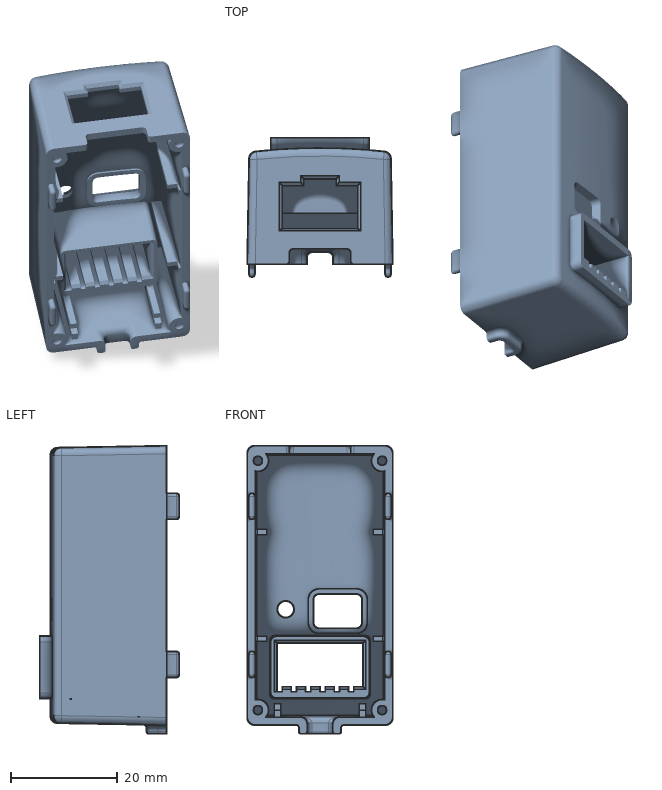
import math

import cadquery as cq

BODY_WIDTH = 27.5
BODY_HEIGHT = 52.7
BODY_DEPTH = 21.93
WALL = 1.5
DRAFT = math.tan(math.radians(1.0))
CROWN_RADIUS = 116.0
EDGE_RADIUS = 1.5
SIDE = BODY_WIDTH / 2
END = BODY_HEIGHT / 2

BOSS_X = 11.7
BOSS_Z = 23.5
BOSS_RADIUS = 2.0
SCREW_HOLE_DIAMETER = 1.7
SCREW_HOLE_DEPTH = 10.0

TONGUE_Z = 14.9
TONGUE_LENGTH = 4.95
TONGUE_THICKNESS = 1.15
TONGUE_HEIGHT = 2.4

RIB_Z = 10.05
RIB_THICKNESS = 1.0
RIB_TIP_X = 10.0
RAIL_X = 8.0
RAIL_THICKNESS = 1.2
RAIL_TOP_Z = -22.35
RIB_FRONT_Y = 1.1
RAIL_FRONT_Y = 1.35
BOARD_BACK_Y = 2.9
BOARD_WIDTH = 23.7
BOARD_HEIGHT = 2 * BOSS_Z

TUBE_Z = -15.42
TUBE_WIDTH = 19.0
TUBE_HEIGHT = 12.0
TUBE_CORNER_RADIUS = 1.0
COLLAR_WIDTH = 18.65
COLLAR_HEIGHT = 11.85
COLLAR_CORNER_RADIUS = 1.15
TUBE_FRONT_Y = 9.6
TUBE_BACK_Y = 23.9
SOCKET_WIDTH = 16.2
SOCKET_TOP_Z = -10.86
SOCKET_BOTTOM_Z = -19.06
SOCKET_LEAD_IN = 0.55
GROOVE_FLOOR_Z = -20.03
GROOVE_WIDTH = 0.95
GROOVE_PITCH = 2.7
GROOVE_COUNT = 6

LAMP_X = -6.47
LAMP_Z = -4.5
LAMP_DIAMETER = 3.1
LAMP_RIM_DIAMETER = 4.4
WINDOW_X = 3.35
WINDOW_Z = -4.85
WINDOW_WIDTH = 9.1
WINDOW_HEIGHT = 6.4
WINDOW_CORNER_RADIUS = 1.0
WINDOW_FRAME_MARGIN = 1.0
WINDOW_FRAME_HEIGHT = 0.4

JACK_WIDTH = 14.2
JACK_FRONT_Y = 6.75
JACK_BACK_Y = 14.85
LATCH_WIDTH = 6.1
LATCH_BACK_Y = 16.1
JACK_CHAMFER = 0.58
JACK_FRONT_CHAMFER = 0.42

RIM_NOTCH_WIDTH = 11.6
RIM_NOTCH_DEPTH = 2.9
RIM_NOTCH_ROUNDING = 0.75
RIM_NOTCH_FLARE = 0.55

SLOT_WIDTH = 4.9
SLOT_DEPTH = 2.25
SLOT_CORNER_RADIUS = 0.9
SLOT_INNER_ROUNDING = 1.1
SLOT_OUTER_ROUNDING = 0.4
LIP_WIDTH = 8.0
LIP_DEPTH = 3.8
LIP_DROP = 1.65
LIP_BOTTOM_Z = -END - LIP_DROP
LIP_CORNER_RADIUS = 2.1
LIP_ROOT_RADIUS = 0.5
LIP_EDGE_ROUNDING = 0.5

WALL_CUT = 2 * WALL
BACK_CUT = 3 * WALL
MARGIN = 1.0
EDGE_REACH = 0.1
ARC_MIDDLE = 1 - math.sqrt(0.5)


def block(x_range, y_range, z_range):
    """Box between two limits on each axis."""
    spans = (x_range, y_range, z_range)
    sizes = [upper - lower for lower, upper in spans]
    corner = tuple(lower for lower, upper in spans)
    return cq.Workplane("XY").box(*sizes, centered=False).translate(corner)


def drafted_block(inset):
    """Crowned block lying inset from the outer faces, its sides drafted inward with depth."""
    taper = 2 * BODY_DEPTH * DRAFT
    width = BODY_WIDTH - 2 * inset
    height = BODY_HEIGHT - 2 * inset
    prism = (
        cq.Workplane("XZ")
        .rect(width, height)
        .workplane(offset=-BODY_DEPTH)
        .rect(width - taper, height - taper)
        .loft()
    )
    crown = (
        cq.Workplane("XY", origin=(0, BODY_DEPTH - CROWN_RADIUS, -END))
        .circle(CROWN_RADIUS - inset)
        .extrude(BODY_HEIGHT)
    )
    return prism.intersect(crown)


def corner_cylinders(radius, depth):
    """Cylinders at the four screw positions, from the rim into the cavity."""
    return (
        cq.Workplane("XZ")
        .rect(2 * BOSS_X, 2 * BOSS_Z, forConstruction=True)
        .vertices()
        .circle(radius)
        .extrude(-depth)
    )


def board_supports():
    rib_depth = (RIB_FRONT_Y, BODY_DEPTH)
    rail_depth = (RAIL_FRONT_Y, BODY_DEPTH)
    right_ribs = cq.Workplane("XY")
    for z in (-RIB_Z, RIB_Z):
        z_range = (z - RIB_THICKNESS / 2, z + RIB_THICKNESS / 2)
        right_ribs = right_ribs.union(block((RIB_TIP_X, SIDE), rib_depth, z_range))
    x_range = (RAIL_X - RAIL_THICKNESS / 2, RAIL_X + RAIL_THICKNESS / 2)
    right_side = right_ribs.union(block(x_range, rail_depth, (-END, RAIL_TOP_Z)))
    both_sides = right_side.union(right_side.mirror("YZ"))
    half_width = BOARD_WIDTH / 2
    half_height = BOARD_HEIGHT / 2
    board = block((-half_width, half_width), (0, BOARD_BACK_Y), (-half_height, half_height))
    return both_sides.cut(board)


def tongue(side, z):
    """Tongue on the rim, flush with the cavity wall, its ends and tip fully rounded; side is +1 or -1."""
    radius = TONGUE_THICKNESS / 2
    x = side * (SIDE - WALL + radius)
    straight_length = TONGUE_LENGTH - TONGUE_THICKNESS
    straight_height = TONGUE_HEIGHT - radius
    blade = (
        cq.Workplane("XZ", origin=(x, 0, z))
        .slot2D(TONGUE_LENGTH, TONGUE_THICKNESS, 90)
        .extrude(straight_height)
    )
    tip = (
        cq.Workplane("XY", origin=(x, -straight_height, z - straight_length / 2))
        .circle(radius)
        .extrude(straight_length)
    )
    tongue_body = blade.union(tip)
    for end in (-1, 1):
        end_z = z + end * straight_length / 2
        ball = cq.Workplane("XY").sphere(radius).translate((x, -straight_height, end_z))
        tongue_body = tongue_body.union(ball)
    return tongue_body


def tube_body():
    """Rectangular tube drafted toward its mouth in the cavity, with a straight collar behind."""
    wall_y = BODY_DEPTH - WALL / 2
    length = wall_y - TUBE_FRONT_Y
    taper = 2 * length * DRAFT
    tube = (
        cq.Workplane("XZ", origin=(0, wall_y, TUBE_Z))
        .rect(TUBE_WIDTH, TUBE_HEIGHT)
        .workplane(offset=length)
        .rect(TUBE_WIDTH - taper, TUBE_HEIGHT - taper)
        .loft()
        .edges("not (#Y or |X or |Z)")
        .fillet(TUBE_CORNER_RADIUS)
    )
    collar = (
        cq.Workplane("XZ", origin=(0, wall_y, TUBE_Z))
        .rect(COLLAR_WIDTH, COLLAR_HEIGHT)
        .extrude(wall_y - TUBE_BACK_Y)
        .edges("|Y")
        .fillet(COLLAR_CORNER_RADIUS)
    )
    return tube.union(collar)


def tube_socket():
    """Rectangular passage with a chamfered mouth and grooves along its floor."""
    half_width = SOCKET_WIDTH / 2
    depth = (TUBE_FRONT_Y, TUBE_BACK_Y)
    passage = block((-half_width, half_width), depth, (SOCKET_BOTTOM_Z, SOCKET_TOP_Z))
    center_z = (SOCKET_TOP_Z + SOCKET_BOTTOM_Z) / 2
    height = SOCKET_TOP_Z - SOCKET_BOTTOM_Z
    lead_in = (
        cq.Workplane("XZ", origin=(0, TUBE_FRONT_Y, center_z))
        .rect(SOCKET_WIDTH + 2 * SOCKET_LEAD_IN, height + 2 * SOCKET_LEAD_IN)
        .workplane(offset=-SOCKET_LEAD_IN)
        .rect(SOCKET_WIDTH, height)
        .loft()
    )
    socket = passage.union(lead_in)
    for index in range(GROOVE_COUNT):
        x = -half_width + index * GROOVE_PITCH
        socket = socket.union(block((x, x + GROOVE_WIDTH), depth, (GROOVE_FLOOR_Z, center_z)))
    corner_lead_in = (
        cq.Workplane("XY", origin=(-half_width, TUBE_FRONT_Y, GROOVE_FLOOR_Z))
        .polyline([(-SOCKET_LEAD_IN, 0), (0, 0), (0, SOCKET_LEAD_IN)])
        .close()
        .extrude(center_z - GROOVE_FLOOR_Z)
    )
    return socket.union(corner_lead_in)


def lamp_hole():
    """Round hole through the back wall, countersunk from outside."""
    sink_depth = (LAMP_RIM_DIAMETER - LAMP_DIAMETER) / 2
    outer_y = BODY_DEPTH - LAMP_X**2 / (2 * CROWN_RADIUS)
    hole = (
        cq.Workplane("XZ", origin=(LAMP_X, outer_y + MARGIN, LAMP_Z))
        .circle(LAMP_DIAMETER / 2)
        .extrude(MARGIN + BACK_CUT)
    )
    sink = (
        cq.Workplane("XZ", origin=(LAMP_X, outer_y, LAMP_Z))
        .circle(LAMP_RIM_DIAMETER / 2)
        .workplane(offset=sink_depth)
        .circle(LAMP_DIAMETER / 2)
        .loft()
    )
    return hole.union(sink)


def rounded_window(margin):
    """Rounded rectangle reaching margin beyond the window, through the whole back wall."""
    front_y = BODY_DEPTH - BACK_CUT
    return (
        cq.Workplane("XZ", origin=(WINDOW_X, front_y, WINDOW_Z))
        .rect(WINDOW_WIDTH + 2 * margin, WINDOW_HEIGHT + 2 * margin)
        .extrude(front_y - BODY_DEPTH - MARGIN)
        .edges("|Y")
        .fillet(WINDOW_CORNER_RADIUS + margin)
    )


def window_frame():
    """Low frame around the window, following the crown inside the back wall."""
    return rounded_window(WINDOW_FRAME_MARGIN).cut(drafted_block(WALL + WINDOW_FRAME_HEIGHT))


def jack_points(grow, front_grow):
    """Corners of the stepped jack opening, grown outward by grow and by front_grow at the front."""
    half = JACK_WIDTH / 2 + grow
    latch = LATCH_WIDTH / 2 + grow
    front = JACK_FRONT_Y - front_grow
    shoulder = JACK_BACK_Y + grow
    back = LATCH_BACK_Y + grow
    return [
        (-half, front),
        (half, front),
        (half, shoulder),
        (latch, shoulder),
        (latch, back),
        (-latch, back),
        (-latch, shoulder),
        (-half, shoulder),
    ]


def jack_opening():
    """Stepped opening square to the drafted top wall, chamfered around its outer edge."""
    top_face = cq.Plane(origin=(0, 0, END), xDir=(1, 0, 0), normal=(0, DRAFT, 1))
    opening = cq.Workplane(top_face).polyline(jack_points(0, 0)).close().extrude(-WALL_CUT)
    flare = (
        cq.Workplane(top_face)
        .polyline(jack_points(JACK_CHAMFER, JACK_FRONT_CHAMFER))
        .close()
        .workplane(offset=-JACK_CHAMFER)
        .polyline(jack_points(0, 0))
        .close()
        .loft(ruled=True)
    )
    return opening.union(flare)


def rim_notch():
    """Notch in the top rim with rounded inner corners and a flared entry."""
    half = RIM_NOTCH_WIDTH / 2
    flare = RIM_NOTCH_FLARE
    inner = RIM_NOTCH_ROUNDING
    flare_middle = (half + flare * ARC_MIDDLE, flare * ARC_MIDDLE)
    inner_middle = (half - inner * ARC_MIDDLE, RIM_NOTCH_DEPTH - inner * ARC_MIDDLE)
    return (
        cq.Workplane("XY", origin=(0, 0, END - WALL_CUT))
        .lineTo(half + flare, 0)
        .threePointArc(flare_middle, (half, flare))
        .lineTo(half, RIM_NOTCH_DEPTH - inner)
        .threePointArc(inner_middle, (half - inner, RIM_NOTCH_DEPTH))
        .lineTo(0, RIM_NOTCH_DEPTH)
        .mirrorY()
        .extrude(WALL_CUT + MARGIN)
    )


def edges_between(half_width, y_range, z_range):
    """Selector for edges centred inside a box that is symmetric about X = 0."""
    near = (-half_width - EDGE_REACH, y_range[0] - EDGE_REACH, z_range[0] - EDGE_REACH)
    far = (half_width + EDGE_REACH, y_range[1] + EDGE_REACH, z_range[1] + EDGE_REACH)
    return cq.selectors.BoxSelector(near, far)


def add_lip(shell):
    """Add the rounded lip under the bottom wall and blend it into the wall."""
    half_width = LIP_WIDTH / 2
    lip = block((-half_width, half_width), (0, LIP_DEPTH), (LIP_BOTTOM_Z, -END + WALL / 2))
    lip = lip.edges("|Z and >Y").fillet(LIP_CORNER_RADIUS)
    lip = lip.faces("<Z").edges("not <Y").fillet(LIP_EDGE_ROUNDING)
    shell = shell.union(lip)
    wall_rise = LIP_DEPTH * DRAFT
    root = edges_between(half_width, (2 * EDGE_REACH, LIP_DEPTH), (-END, -END + wall_rise))
    return shell.edges(root).fillet(LIP_ROOT_RADIUS)


def cut_cable_slot(shell):
    """Cut the slot through the lip, rounding its inner edge, deep corners and outer edge in turn."""
    half_width = SLOT_WIDTH / 2
    z_range = (LIP_BOTTOM_Z - MARGIN, -END + WALL_CUT)
    shell = shell.cut(block((-half_width, half_width), (-MARGIN, SLOT_DEPTH), z_range))
    floor_z = -END + WALL
    sides = (2 * EDGE_REACH, SLOT_DEPTH)
    inner_edge = edges_between(half_width, sides, (floor_z, floor_z))
    shell = shell.edges(inner_edge).fillet(SLOT_INNER_ROUNDING)
    corners = edges_between(half_width, (SLOT_DEPTH, SLOT_DEPTH), (LIP_BOTTOM_Z, floor_z))
    shell = shell.edges(corners).edges("|Z").fillet(SLOT_CORNER_RADIUS)
    outer_edge = edges_between(half_width, sides, (LIP_BOTTOM_Z, LIP_BOTTOM_Z))
    return shell.edges(outer_edge).fillet(SLOT_OUTER_ROUNDING)


envelope = drafted_block(0).edges("not <Y").fillet(EDGE_RADIUS)
shell = envelope.cut(drafted_block(WALL))
shell = cut_cable_slot(add_lip(shell))

bosses = corner_cylinders(BOSS_RADIUS, BODY_DEPTH)
inside = bosses.union(board_supports()).union(window_frame()).intersect(envelope)
result = shell.union(inside).union(tube_body())
for side in (-1, 1):
    for z in (-TONGUE_Z, TONGUE_Z):
        result = result.union(tongue(side, z))

result = result.cut(corner_cylinders(SCREW_HOLE_DIAMETER / 2, SCREW_HOLE_DEPTH))
result = result.cut(tube_socket())
result = result.cut(lamp_hole())
result = result.cut(rounded_window(0))
result = result.cut(jack_opening())
result = result.cut(rim_notch())